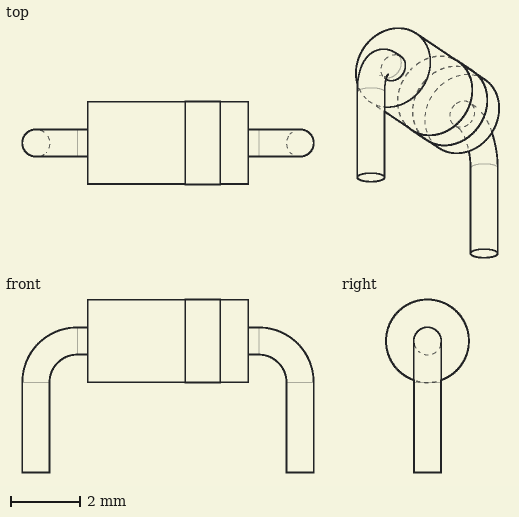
import cadquery as cq


body_diameter = 2.38
body_length = 4.63
band_diameter = 2.4
band_width = 1.01
band_start = 0.49

lead_diameter = 0.79
lead_pitch = 7.61
bend_radius = 1.19
total_height = 4.99

axis_height = band_diameter / 2
lead_end_height = band_diameter - total_height
lead_x = lead_pitch / 2


def cylinder_along_x(diameter, start_x, length):
    """Solid cylinder on the body axis."""
    return (
        cq.Workplane("YZ", origin=(start_x, 0, axis_height))
        .circle(diameter / 2)
        .extrude(length)
    )


def make_body():
    core = cylinder_along_x(body_diameter, -body_length / 2, body_length)
    band = cylinder_along_x(band_diameter, band_start, band_width)
    return core.union(band)


def make_lead():
    """Lead on the -X side: up from its free end, round the bend and to the body's end face."""
    bend_start = (-lead_x, axis_height - bend_radius)
    bend_end = (-lead_x + bend_radius, axis_height)
    path = (
        cq.Workplane("XZ")
        .moveTo(-lead_x, lead_end_height)
        .lineTo(*bend_start)
        .tangentArcPoint(bend_end, relative=False)
        .lineTo(-body_length / 2, axis_height)
    )
    return (
        cq.Workplane("XY", origin=(-lead_x, 0, lead_end_height))
        .circle(lead_diameter / 2)
        .sweep(path)
    )


left_lead = make_lead()
right_lead = left_lead.mirror("YZ")

result = make_body().union(left_lead).union(right_lead)